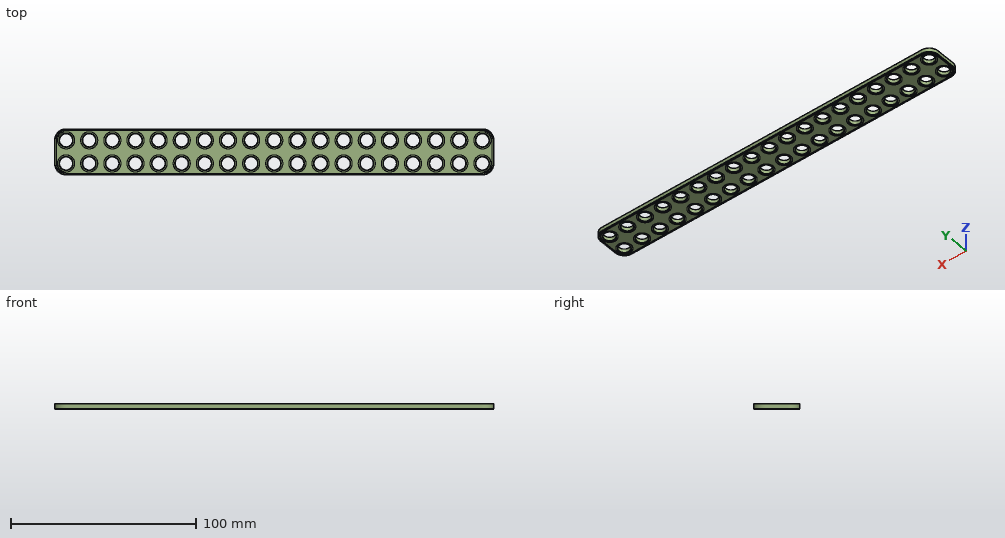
import cadquery as cq

length = 237.5
columns = 19
rows = 2
collar_diameter = 9.3
collar_width = 1.15
lip_width = 1.0
recess_depth = 0.17
edge_chamfer = 0.3

pitch = length / columns
width = rows * pitch
thickness = pitch / 4
corner_radius = pitch / 2
hole_diameter = collar_diameter - 2 * collar_width


def at_each_hole(shape):
    """Copies of a shape made about the Z axis, one on every hole axis."""
    return (
        cq.Workplane("XY")
        .rarray(pitch, pitch, columns, rows)
        .eachpoint(lambda place: shape.located(place))
    )


def rounded_bar(height, inset=0.0):
    """Bar centred on the origin, with its outline moved inward by inset."""
    bar = cq.Workplane("XY").box(length - 2 * inset, width - 2 * inset, height)
    return bar.edges("|Z").fillet(corner_radius - inset)


def make_field():
    """Volume sunk into a face: the area inside the lip, less the collars."""
    collar = cq.Workplane("XY").circle(collar_diameter / 2).extrude(recess_depth, both=True).val()
    return rounded_bar(recess_depth, lip_width).cut(at_each_hole(collar))


def make_hole_cutter():
    """Through hole with a chamfered mouth at both ends, revolved about Z."""
    radius = hole_diameter / 2
    mouth_radius = radius + edge_chamfer
    face = thickness / 2
    throat = face - edge_chamfer
    profile = [
        (0, -face),
        (mouth_radius, -face),
        (radius, -throat),
        (radius, throat),
        (mouth_radius, face),
        (0, face),
    ]
    outline = cq.Workplane("XZ").polyline(profile).close()
    return outline.revolve(360, (0, 0, 0), (0, 1, 0)).val()


plate = rounded_bar(thickness).faces("<Z or >Z").chamfer(edge_chamfer)

field = make_field()
field_offset = (thickness - recess_depth) / 2
for side in (1, -1):
    plate = plate.cut(field.translate((0, 0, side * field_offset)))

result = plate.cut(at_each_hole(make_hole_cutter()))